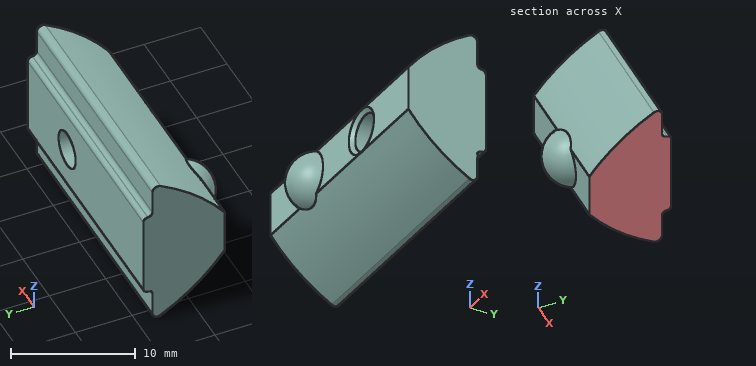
import cadquery as cq
import math

length = 22.0
body_depth = 7.2
height = 13.7
front_face_height = 4.0
pad_height = 7.8
pad_rise = 0.8
pad_radius = pad_rise / 2
tip_radius = 0.5
tip_lean = math.radians(28)

ball_radius = 2.5
ball_protrusion = 1.75
ball_x = 6.0

hole_diameter = 3.24
countersink_diameter = 4.0
hole_x = 14.5

front_y = -body_depth
shoulder_y = -pad_rise


def quarter_arc_middle(center, radius, y_sign, z_sign):
    """Midpoint of a quarter circle lying in the given quadrant around its center."""
    offset = radius * math.sqrt(0.5)
    return (center[0] + y_sign * offset, center[1] + z_sign * offset)


def make_body():
    """Upper half of the section, extruded along X and mirrored."""
    half_pad = pad_height / 2
    pad_mid_y = -pad_radius
    pad_corner = (pad_mid_y, half_pad - pad_radius)
    shoulder_corner = (pad_mid_y, half_pad + pad_radius)
    tip = (shoulder_y - tip_radius, height / 2 - tip_radius)
    flank_start = (
        tip[0] - tip_radius * math.sin(tip_lean),
        tip[1] + tip_radius * math.cos(tip_lean),
    )
    front_corner = (front_y, front_face_height / 2)

    upper_half = (
        cq.Workplane("YZ")
        .lineTo(0, pad_corner[1])
        .threePointArc(quarter_arc_middle(pad_corner, pad_radius, 1, 1), (pad_mid_y, half_pad))
        .threePointArc(
            quarter_arc_middle(shoulder_corner, pad_radius, -1, -1),
            (shoulder_y, shoulder_corner[1]),
        )
        .lineTo(shoulder_y, tip[1])
        .threePointArc(quarter_arc_middle(tip, tip_radius, 1, 1), (tip[0], tip[1] + tip_radius))
        .tangentArcPoint(flank_start, relative=False)
        .tangentArcPoint(front_corner, relative=False)
        .lineTo(front_y, 0)
        .close()
        .extrude(length)
    )
    return upper_half.union(upper_half.mirror("XY")).clean()


def make_ball():
    center_y = front_y - ball_protrusion + ball_radius
    return cq.Workplane("XY").sphere(ball_radius).translate((ball_x, center_y, 0))


def make_hole():
    """Cutter for the through hole and its 45 degree countersink."""
    hole_radius = hole_diameter / 2
    countersink_radius = countersink_diameter / 2
    countersink_end_y = front_y + countersink_radius - hole_radius
    return (
        cq.Workplane("XY")
        .moveTo(0, front_y)
        .lineTo(countersink_radius, front_y)
        .lineTo(hole_radius, countersink_end_y)
        .lineTo(hole_radius, 0)
        .lineTo(0, 0)
        .close()
        .revolve(360, (0, 0, 0), (0, 1, 0))
        .translate((hole_x, 0, 0))
    )


result = make_body().union(make_ball()).cut(make_hole())